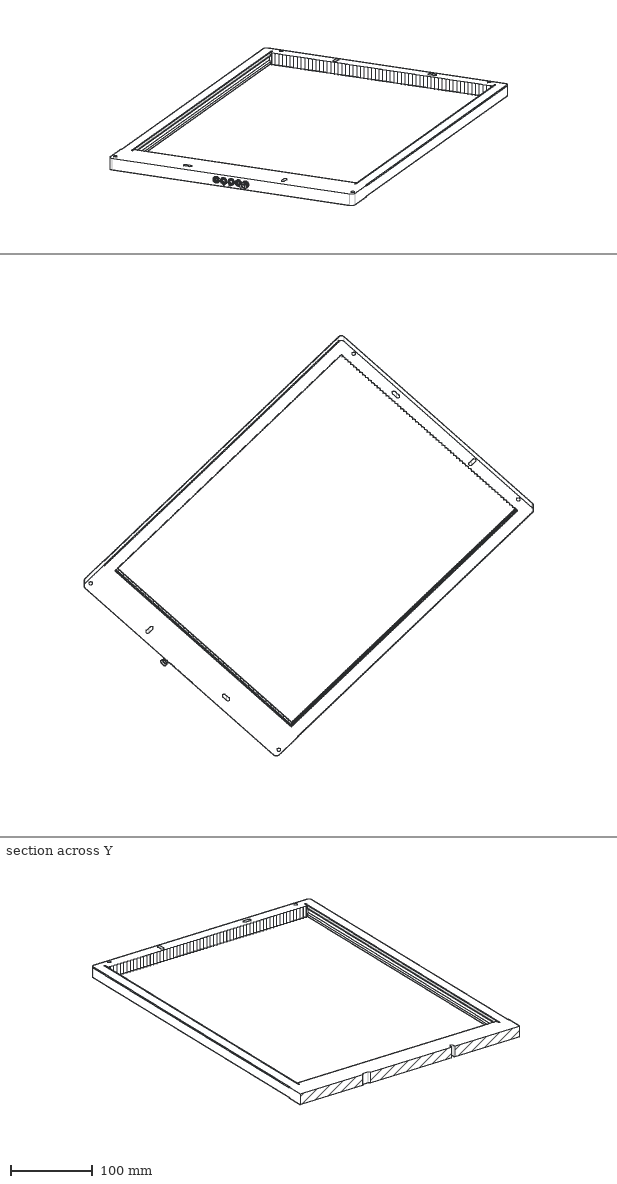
import cadquery as cq

WIDTH = 330.0
TOTAL_LENGTH = 465.5
HEIGHT = 15.0
PLUG_REACH = 8.5
CORNER_RADIUS = 5.0
BACK_Y = TOTAL_LENGTH / 2
FRONT_Y = -TOTAL_LENGTH / 2 + PLUG_REACH
BODY_LENGTH = BACK_Y - FRONT_Y
BODY_MID_Y = (BACK_Y + FRONT_Y) / 2
TOP_Z = HEIGHT / 2

PITCH = 5.0
WINDOW_COLUMNS = 60
WINDOW_ROWS = 80
WINDOW_WIDTH = WINDOW_COLUMNS * PITCH
WINDOW_LENGTH = WINDOW_ROWS * PITCH
RAIL_WIDTH = (WIDTH - WINDOW_WIDTH) / 2
WINDOW_BACK_Y = BACK_Y - RAIL_WIDTH
WINDOW_FRONT_Y = WINDOW_BACK_Y - WINDOW_LENGTH
WINDOW_MID_Y = (WINDOW_BACK_Y + WINDOW_FRONT_Y) / 2

RAIL_CHAMFER = 1.0
CHAMFER_FRONT_Y = WINDOW_FRONT_Y - 4.0

STRIP_WIDTH = 1.5
STRIP_REACH = 0.2
STRIP_DROP = 0.1
STRIP_BACK_OVERRUN = 6.0
STRIP_FRONT_OVERRUN = 5.0
STRIP_INNER_X = WINDOW_WIDTH / 2 - STRIP_REACH
STRIP_OUTER_X = STRIP_INNER_X + STRIP_WIDTH

BEVEL_WIDTH = 0.3
BEVEL_HEIGHT = 2.5
GROOVE_TOP_Z = 3.0
GROOVE_BOTTOM_Z = -4.5
GROOVE_DEPTH = 1.0
GROOVE_SLOPE_HEIGHT = 2.5

CUSP_REACH = 1.6
SCALLOP_FLOOR = 0.05
LIP_REACH = 1.25
LIP_HEIGHT = 9.0

SLOT_LENGTH = 11.0
SLOT_WIDTH = 4.3
SLOT_X = 65.0
SLOT_BACK_Y = BACK_Y - 7.0
SLOT_FRONT_Y = FRONT_Y + 14.75
HOLE_DIAMETER = 4.3
BACK_HOLE_X = 140.0
BACK_HOLE_Y = BACK_Y - 3.75
FRONT_HOLE_X = 160.0
FRONT_HOLE_Y = FRONT_Y + 9.5

CONNECTOR_PITCH = 10.0
SOCKET_DIAMETER = 8.5
SOCKET_DEPTH = 2.0
BARREL_DIAMETER = 6.6
BARREL_BORE = 4.3
BARREL_REACH = 1.25
FLUSH_REACH = 0.0
RAISED_BARREL_X = (-2 * CONNECTOR_PITCH, CONNECTOR_PITCH)
KEYED_SOCKET_X = (-CONNECTOR_PITCH, 0.0)
KEY_OFFSETS_X = (0.0, -1.7)
KEY_DIAMETER = 2.0
KEY_Z = -4.6
PLUG_X = 2 * CONNECTOR_PITCH
PLUG_DIAMETER = 8.5
PLUG_COLLAR_LENGTH = 3.0
PLUG_NECK_DIAMETER = 5.5
PLUG_HEAD_LENGTH = 3.0
PLUG_BORE_DEPTH = 2.0


def block(x_range, y_range, z_range):
    """Box given by its limits along each axis."""
    ranges = (x_range, y_range, z_range)
    size = [high - low for low, high in ranges]
    corner = tuple(low for low, _ in ranges)
    return cq.Workplane("XY").box(*size, centered=False).translate(corner)


def front_cylinder(x, z, diameter, start_y, end_y):
    """Cylinder along Y between two Y positions."""
    plane = cq.Workplane("XZ", origin=(x, start_y, z))
    return plane.circle(diameter / 2).extrude(start_y - end_y)


def frame():
    body = cq.Workplane("XY").box(WIDTH, BODY_LENGTH, HEIGHT).edges("|Z").fillet(CORNER_RADIUS)
    body = body.translate((0, BODY_MID_Y, 0))
    window = cq.Workplane("XY").box(WINDOW_WIDTH, WINDOW_LENGTH, HEIGHT).translate((0, WINDOW_MID_Y, 0))
    return body.cut(window)


def rail_chamfers():
    """Wedges that bevel the four long outer edges of the side rails."""
    wedges = cq.Workplane("XY")
    for side in (-1, 1):
        for face in (-1, 1):
            x = side * WIDTH / 2
            z = face * TOP_Z
            wedge = cq.Workplane("XZ", origin=(0, BACK_Y, 0)).polyline(
                [(x, z), (x - side * RAIL_CHAMFER, z), (x, z - face * RAIL_CHAMFER)]
            )
            wedges = wedges.add(wedge.close().extrude(BACK_Y - CHAMFER_FRONT_Y))
    return wedges.combine()


def strip_body():
    """Part of the right-hand strip that stands inside the window."""
    return block(
        (STRIP_INNER_X, WINDOW_WIDTH / 2),
        (WINDOW_FRONT_Y, WINDOW_BACK_Y),
        (-TOP_Z, TOP_Z),
    )


def strip_drop():
    """Shallow step over the right-hand strip, including its embedded ends."""
    return block(
        (STRIP_INNER_X, STRIP_OUTER_X),
        (WINDOW_FRONT_Y - STRIP_FRONT_OVERRUN, WINDOW_BACK_Y + STRIP_BACK_OVERRUN),
        (TOP_Z - STRIP_DROP, TOP_Z),
    )


def strip_profile():
    """Bevel and groove cut along the right-hand strip, between the window's ends."""
    strip_top_z = TOP_Z - STRIP_DROP
    groove_x = STRIP_INNER_X + GROOVE_DEPTH
    bevel = [
        (STRIP_INNER_X, strip_top_z),
        (STRIP_INNER_X + BEVEL_WIDTH, strip_top_z),
        (STRIP_INNER_X, strip_top_z - BEVEL_HEIGHT),
    ]
    groove = [
        (STRIP_INNER_X, GROOVE_TOP_Z),
        (groove_x, GROOVE_TOP_Z),
        (groove_x, GROOVE_BOTTOM_Z + GROOVE_SLOPE_HEIGHT),
        (STRIP_INNER_X, GROOVE_BOTTOM_Z),
    ]
    plane = cq.Workplane("XZ", origin=(0, WINDOW_BACK_Y, 0))
    cutters = [plane.polyline(outline).close().extrude(WINDOW_LENGTH) for outline in (bevel, groove)]
    return cutters[0].union(cutters[1])


def back_cusps():
    """Band along the back of the window, scalloped once per pitch at full height."""
    tip_y = WINDOW_BACK_Y - CUSP_REACH
    half_span = (WINDOW_COLUMNS - 1) * PITCH / 2
    outline = cq.Workplane("XY", origin=(0, 0, -TOP_Z)).moveTo(half_span, WINDOW_BACK_Y)
    outline = outline.lineTo(-half_span, WINDOW_BACK_Y).lineTo(-half_span, tip_y)
    for scallop in range(WINDOW_COLUMNS - 1):
        cusp_x = -half_span + scallop * PITCH
        middle = (cusp_x + PITCH / 2, WINDOW_BACK_Y - SCALLOP_FLOOR)
        outline = outline.threePointArc(middle, (cusp_x + PITCH, tip_y))
    return outline.close().extrude(HEIGHT)


def front_lip():
    return block(
        (-WINDOW_WIDTH / 2, WINDOW_WIDTH / 2),
        (WINDOW_FRONT_Y, WINDOW_FRONT_Y + LIP_REACH),
        (-LIP_HEIGHT / 2, LIP_HEIGHT / 2),
    )


def mounting_slots():
    """One slot in each pair runs along X and the other along Y."""
    slots = cq.Workplane("XY")
    for x, y, angle in (
        (-SLOT_X, SLOT_BACK_Y, 90),
        (SLOT_X, SLOT_BACK_Y, 0),
        (-SLOT_X, SLOT_FRONT_Y, 0),
        (SLOT_X, SLOT_FRONT_Y, 90),
    ):
        outline = cq.Workplane("XY", origin=(x, y, -TOP_Z)).slot2D(SLOT_LENGTH, SLOT_WIDTH, angle)
        slots = slots.add(outline.extrude(HEIGHT))
    return slots.combine()


def corner_holes():
    centres = [
        (side * x, y)
        for side in (-1, 1)
        for x, y in ((BACK_HOLE_X, BACK_HOLE_Y), (FRONT_HOLE_X, FRONT_HOLE_Y))
    ]
    plane = cq.Workplane("XY", origin=(0, 0, -TOP_Z))
    return plane.pushPoints(centres).circle(HOLE_DIAMETER / 2).extrude(HEIGHT)


def add_socket(part, x, barrel_reach, key_offset=None):
    """Ring-shaped recess around a bored barrel, optionally with a round key notch below."""
    floor_y = FRONT_Y + SOCKET_DEPTH
    tip_y = FRONT_Y - barrel_reach
    part = part.cut(front_cylinder(x, 0, SOCKET_DIAMETER, floor_y, FRONT_Y))
    if key_offset is not None:
        part = part.cut(front_cylinder(x + key_offset, KEY_Z, KEY_DIAMETER, floor_y, FRONT_Y))
    part = part.union(front_cylinder(x, 0, BARREL_DIAMETER, floor_y, tip_y))
    return part.cut(front_cylinder(x, 0, BARREL_BORE, floor_y, tip_y))


def add_plug(part):
    """Collar, neck and bored head standing out of the front face."""
    tip_y = FRONT_Y - PLUG_REACH
    part = part.union(front_cylinder(PLUG_X, 0, PLUG_DIAMETER, FRONT_Y, FRONT_Y - PLUG_COLLAR_LENGTH))
    part = part.union(front_cylinder(PLUG_X, 0, PLUG_NECK_DIAMETER, FRONT_Y, tip_y))
    part = part.union(front_cylinder(PLUG_X, 0, PLUG_DIAMETER, tip_y + PLUG_HEAD_LENGTH, tip_y))
    return part.cut(front_cylinder(PLUG_X, 0, BARREL_BORE, tip_y + PLUG_BORE_DEPTH, tip_y))


def build():
    part = frame().cut(rail_chamfers())
    strip = strip_body()
    part = part.union(strip).union(strip.mirror("YZ"))
    for cutter in (strip_drop(), strip_profile()):
        part = part.cut(cutter).cut(cutter.mirror("YZ"))
    part = part.union(back_cusps()).union(front_lip())
    part = part.cut(mounting_slots()).cut(corner_holes())
    for x in RAISED_BARREL_X:
        part = add_socket(part, x, BARREL_REACH)
    for x, key_offset in zip(KEYED_SOCKET_X, KEY_OFFSETS_X):
        part = add_socket(part, x, FLUSH_REACH, key_offset)
    return add_plug(part)


result = build()